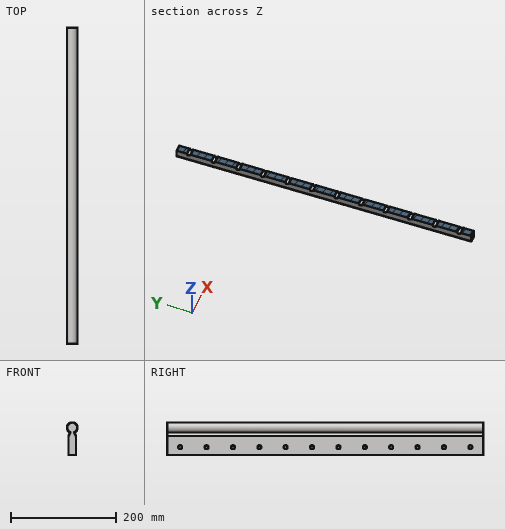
import cadquery as cq
import math

rail_length = 600.0
shaft_diameter = 20.0
shaft_center_height = 52.0

web_width = 15.0
taper_angle = 25.0
seat_half_angle = 25.0

hole_diameter = 6.6
hole_count = 12
hole_pitch = 50.0
hole_height = 15.0

shaft_radius = shaft_diameter / 2
half_web = web_width / 2
half_neck = shaft_radius * math.sin(math.radians(seat_half_angle))
neck_height = shaft_center_height - shaft_radius * math.cos(math.radians(seat_half_angle))
shoulder_height = neck_height - (half_web - half_neck) / math.tan(math.radians(taper_angle))


def make_rail():
    """Shaft and web section, extruded along the full length and centred on Y."""
    shaft_top = shaft_center_height + shaft_radius
    return (
        cq.Workplane("XZ")
        .moveTo(-half_web, 0)
        .lineTo(half_web, 0)
        .lineTo(half_web, shoulder_height)
        .lineTo(half_neck, neck_height)
        .threePointArc((0, shaft_top), (-half_neck, neck_height))
        .lineTo(-half_web, shoulder_height)
        .close()
        .extrude(rail_length / 2, both=True)
    )


def make_mounting_holes():
    """Row of evenly spaced cylinders running right through the web along X."""
    first_hole_y = -hole_pitch * (hole_count - 1) / 2
    positions = [(first_hole_y + i * hole_pitch, hole_height) for i in range(hole_count)]
    return (
        cq.Workplane("YZ")
        .pushPoints(positions)
        .circle(hole_diameter / 2)
        .extrude(web_width, both=True)
    )


result = make_rail().cut(make_mounting_holes())